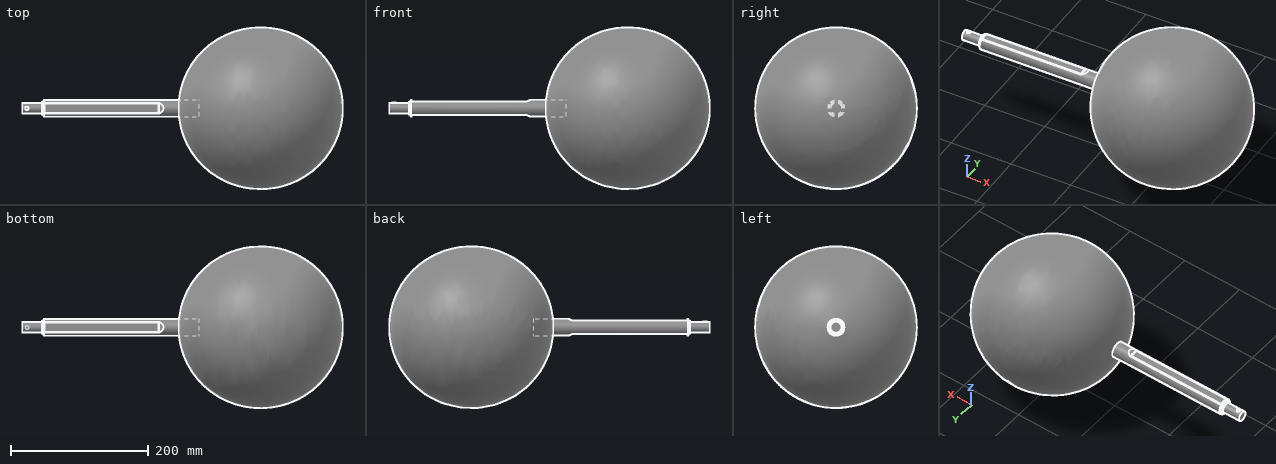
import cadquery as cq

total_length = 467.5
ball_length = 240.0
ball_diameter = 236.0
ball_center_x = total_length - ball_length / 2

shaft_diameter = 25.0
shaft_end_x = 257.0
tip_diameter = 16.0

collar_diameter = 19.0
collar_start_x = 29.0
collar_end_x = 30.5
shoulder_inner_diameter = 22.5
shoulder_outer_diameter = 24.0
shoulder_x = 31.5
shoulder_end_x = 32.5

flat_start_x = 33.0
flat_end_x = 199.5
flat_half_height = 9.6
ramp_length = 6.5

pad_half_height = 10.5
pad_width = 13.0
pad_end_x = 198.0

button_diameter = 5.0
button_x = 7.0
button_top_z = 9.0


def make_turned_shaft():
    """Stepped round shaft revolved about X."""
    tip_radius = tip_diameter / 2
    collar_radius = collar_diameter / 2
    shaft_radius = shaft_diameter / 2
    profile = (
        cq.Workplane("XY")
        .lineTo(0, tip_radius)
        .lineTo(collar_start_x, tip_radius)
        .lineTo(collar_start_x, collar_radius)
        .lineTo(collar_end_x, collar_radius)
        .lineTo(shoulder_x, shoulder_inner_diameter / 2)
        .lineTo(shoulder_x, shoulder_outer_diameter / 2)
        .lineTo(shoulder_end_x, shaft_radius)
        .lineTo(shaft_end_x, shaft_radius)
        .lineTo(shaft_end_x, 0)
        .close()
    )
    return profile.revolve(360, (0, 0, 0), (1, 0, 0))


def make_flat_cutter():
    """Material removed above the top flat; its far end slopes up to the shaft surface."""
    shaft_radius = shaft_diameter / 2
    return (
        cq.Workplane("XZ")
        .moveTo(flat_start_x, flat_half_height)
        .lineTo(flat_end_x, flat_half_height)
        .lineTo(flat_end_x + ramp_length, shaft_radius)
        .lineTo(flat_start_x, shaft_radius)
        .close()
        .extrude(shaft_radius, both=True)
    )


def make_pad():
    """Low rectangular pad on the top flat, from the shoulder to just short of the ramp."""
    corner = (flat_start_x, -pad_width / 2, flat_half_height)
    size = (pad_end_x - flat_start_x, pad_width, pad_half_height - flat_half_height)
    return cq.Workplane("XY").box(*size, centered=False).translate(corner)


def make_button():
    return (
        cq.Workplane("XY")
        .center(button_x, 0)
        .circle(button_diameter / 2)
        .extrude(button_top_z)
    )


def make_shaft():
    shaft = make_turned_shaft()
    flat_cutter = make_flat_cutter()
    pad = make_pad()
    shaft = shaft.cut(flat_cutter).cut(flat_cutter.mirror("XY"))
    shaft = shaft.union(pad).union(pad.mirror("XY"))
    return shaft.union(make_button())


def make_ball():
    """Slightly elongated ball, round about X, with a blind bore that the shaft fills."""
    outline = (
        cq.Workplane("XY", origin=(ball_center_x, 0, 0))
        .ellipseArc(ball_length / 2, ball_diameter / 2, 0, 180, startAtCurrent=False)
        .close()
    )
    ball = outline.revolve(360, (0, 0, 0), (1, 0, 0))
    bore = cq.Workplane("YZ").circle(shaft_diameter / 2).extrude(shaft_end_x)
    return ball.cut(bore)


shaft = make_shaft()
ball = make_ball()

result = cq.Compound.makeCompound([shaft.val(), ball.val()])